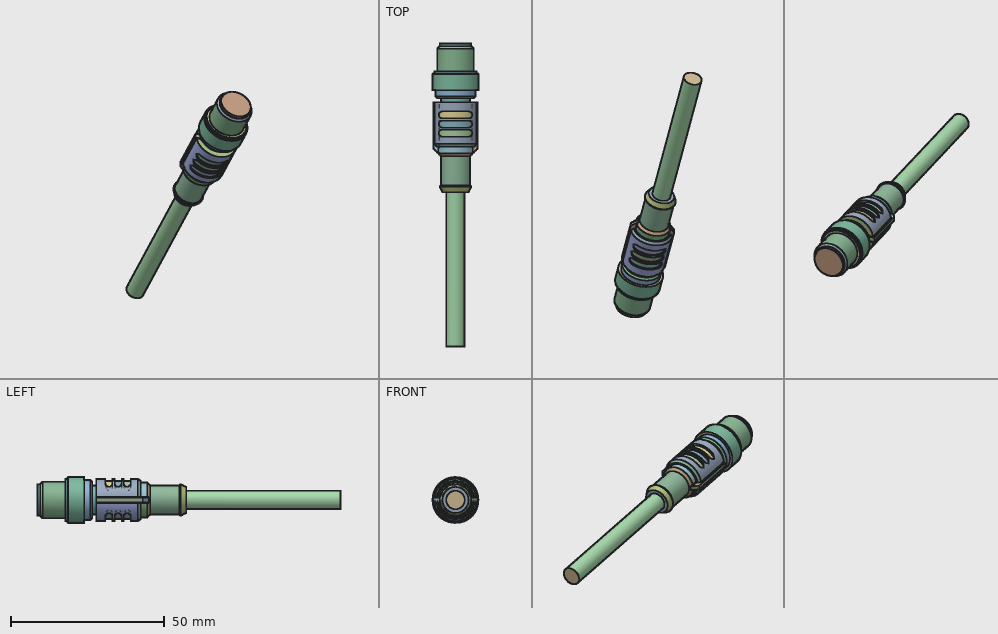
import cadquery as cq

OVERALL_LENGTH = 98.7

NOSE_DIAMETER = 10.3
NOSE_LENGTH = 1.0
SLEEVE_DIAMETER = 12.0
SLEEVE_CHAMFER = 0.7

NUT_COLLAR_START = 9.0
NUT_COLLAR_DIAMETER = 13.8
NUT_START = 9.7
NUT_END = 15.2
NUT_DIAMETER = 15.0
NUT_CHAMFER = 0.3
HUB_DIAMETER = 13.1
HUB_END = 17.9
HUB_CHAMFER = 0.7

NECK_DIAMETER = 9.6
GRIP_START = 19.1
GRIP_DIAMETER = 13.8
GRIP_END = 32.7
GRIP_CONE_LENGTH = 1.0
GRIP_CONE_END_DIAMETER = 12.4
STEP_DIAMETER = 11.4
STEP_END = 35.7

COLLAR_START = 46.2
COLLAR_DIAMETER = 10.3
COLLAR_LEAD_IN = (COLLAR_DIAMETER - NECK_DIAMETER) / 2
COLLAR_LAND = 0.2
COLLAR_END = 48.5
COLLAR_END_DIAMETER = 8.5
CABLE_DIAMETER = 6.0

FIN_SPAN = 14.4
FIN_THICKNESS = 1.6
FIN_CHAMFER_START = 34.2
FIN_END = 36.3
FIN_GROOVE_WIDTH = 2.2
FIN_GROOVE_FLOOR = 5.4

POCKET_COUNT = 3
POCKET_FIRST = 23.3
POCKET_PITCH = 3.0
POCKET_WIDTH = 2.3
POCKET_LENGTH = 10.9
POCKET_FLOOR_DIAMETER = 12.5


def turned_body():
    """Revolve the stepped plug and cable around the Y axis."""
    nose = NOSE_DIAMETER / 2
    sleeve = SLEEVE_DIAMETER / 2
    nut_collar = NUT_COLLAR_DIAMETER / 2
    nut = NUT_DIAMETER / 2
    hub = HUB_DIAMETER / 2
    neck = NECK_DIAMETER / 2
    grip = GRIP_DIAMETER / 2
    step = STEP_DIAMETER / 2
    collar = COLLAR_DIAMETER / 2
    cable = CABLE_DIAMETER / 2
    collar_top = COLLAR_START + COLLAR_LEAD_IN
    profile = [
        (0, 0),
        (nose, 0),
        (nose, NOSE_LENGTH),
        (sleeve - SLEEVE_CHAMFER, NOSE_LENGTH),
        (sleeve, NOSE_LENGTH + SLEEVE_CHAMFER),
        (sleeve, NUT_COLLAR_START),
        (nut_collar, NUT_COLLAR_START),
        (nut_collar, NUT_START),
        (nut - NUT_CHAMFER, NUT_START),
        (nut, NUT_START + NUT_CHAMFER),
        (nut, NUT_END),
        (hub, NUT_END),
        (hub, HUB_END - HUB_CHAMFER),
        (hub - HUB_CHAMFER, HUB_END),
        (neck, HUB_END),
        (neck, GRIP_START),
        (grip, GRIP_START),
        (grip, GRIP_END),
        (GRIP_CONE_END_DIAMETER / 2, GRIP_END + GRIP_CONE_LENGTH),
        (step, GRIP_END + GRIP_CONE_LENGTH),
        (step, STEP_END),
        (neck, STEP_END + step - neck),
        (neck, COLLAR_START),
        (collar, collar_top),
        (collar, collar_top + COLLAR_LAND),
        (COLLAR_END_DIAMETER / 2, COLLAR_END),
        (cable, COLLAR_END),
        (cable, OVERALL_LENGTH),
        (0, OVERALL_LENGTH),
    ]
    points = [(radius, -station) for radius, station in profile]
    return cq.Workplane("XY").polyline(points).close().revolve(360, (0, 0), (0, 1))


def ring(outer_diameter, inner_diameter, start, end):
    """Tube around the Y axis between two stations."""
    return (
        cq.Workplane("XZ", origin=(0, -start, 0))
        .circle(outer_diameter / 2)
        .circle(inner_diameter / 2)
        .extrude(end - start)
    )


def fin_grooves():
    """Slots along both sides of the grip that leave a gap beside each fin."""
    groove_ring = ring(NUT_DIAMETER, 2 * FIN_GROOVE_FLOOR, GRIP_START, COLLAR_START)
    slot_length = COLLAR_START - GRIP_START
    slab = cq.Workplane("XY").box(NUT_DIAMETER, slot_length, FIN_GROOVE_WIDTH)
    return groove_ring.intersect(slab.translate((0, -(GRIP_START + COLLAR_START) / 2, 0)))


def fins():
    """One flat plate through the grip whose rear corners are cut at 45 degrees."""
    outer = FIN_SPAN / 2
    tip = outer - (FIN_END - FIN_CHAMFER_START)
    outline = [
        (-outer, -GRIP_START),
        (outer, -GRIP_START),
        (outer, -FIN_CHAMFER_START),
        (tip, -FIN_END),
        (-tip, -FIN_END),
        (-outer, -FIN_CHAMFER_START),
    ]
    plate = cq.Workplane("XY").polyline(outline).close()
    return plate.extrude(FIN_THICKNESS / 2, both=True)


def finger_pockets():
    """Round-ended pockets, on top and bottom, with a floor concentric with the grip."""
    centers = [(0, -POCKET_FIRST - i * POCKET_PITCH) for i in range(POCKET_COUNT)]
    slots = (
        cq.Workplane("XY")
        .pushPoints(centers)
        .slot2D(POCKET_LENGTH, POCKET_WIDTH)
        .extrude(GRIP_DIAMETER, both=True)
    )
    return slots.intersect(ring(NUT_DIAMETER, POCKET_FLOOR_DIAMETER, GRIP_START, GRIP_END))


result = turned_body().cut(fin_grooves()).union(fins()).cut(finger_pockets())